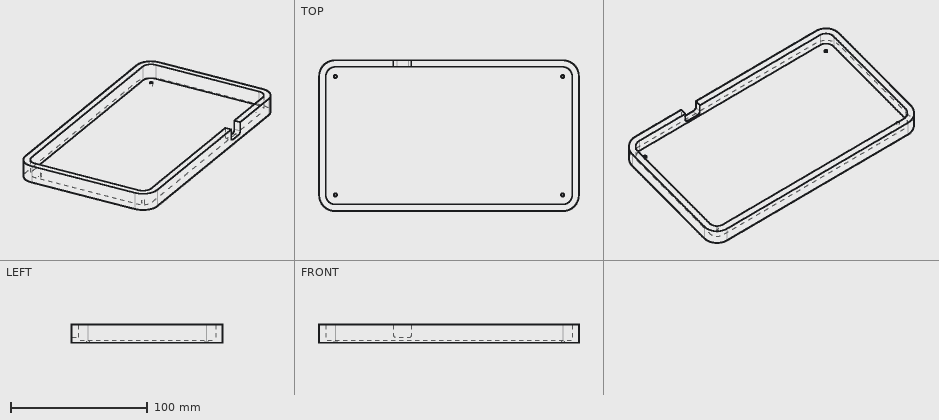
import cadquery as cq

LENGTH = 191.0
WIDTH = 111.0
HEIGHT = 13.51
CORNER_RADIUS = 12.0

WALL = 5.0
FLOOR = 2.0

HOLE_DIAMETER = 2.2

NOTCH_WIDTH = 13.5
NOTCH_CENTER_X = -34.3
NOTCH_SILL = 2.0
NOTCH_RADIUS = 2.5


def rounded_block(length, width, height, radius):
    """Block standing on Z = 0, centred in X and Y, with rounded vertical edges."""
    block = cq.Workplane("XY").rect(length, width).extrude(height)
    return block.edges("|Z").fillet(radius)


def cavity():
    """Open-topped pocket that leaves an even wall all around."""
    pocket = rounded_block(
        LENGTH - 2 * WALL,
        WIDTH - 2 * WALL,
        HEIGHT - FLOOR,
        CORNER_RADIUS - WALL,
    )
    return pocket.translate((0, 0, FLOOR))


def corner_holes():
    """Through holes in the floor, one on the axis of each rounded corner."""
    return (
        cq.Workplane("XY")
        .rect(LENGTH - 2 * CORNER_RADIUS, WIDTH - 2 * CORNER_RADIUS, forConstruction=True)
        .vertices()
        .circle(HOLE_DIAMETER / 2)
        .extrude(FLOOR)
    )


def cable_notch():
    """Slot open at the top, with rounded bottom corners, through the back wall only."""
    notch_bottom = FLOOR + NOTCH_SILL
    wall_middle_y = (WIDTH - WALL) / 2
    slot = cq.Workplane("XY").box(
        NOTCH_WIDTH, WALL, HEIGHT - notch_bottom, centered=(True, True, False)
    )
    slot = slot.edges("|Y and <Z").fillet(NOTCH_RADIUS)
    return slot.translate((NOTCH_CENTER_X, wall_middle_y, notch_bottom))


tray = rounded_block(LENGTH, WIDTH, HEIGHT, CORNER_RADIUS)
result = tray.cut(cavity()).cut(corner_holes()).cut(cable_notch())